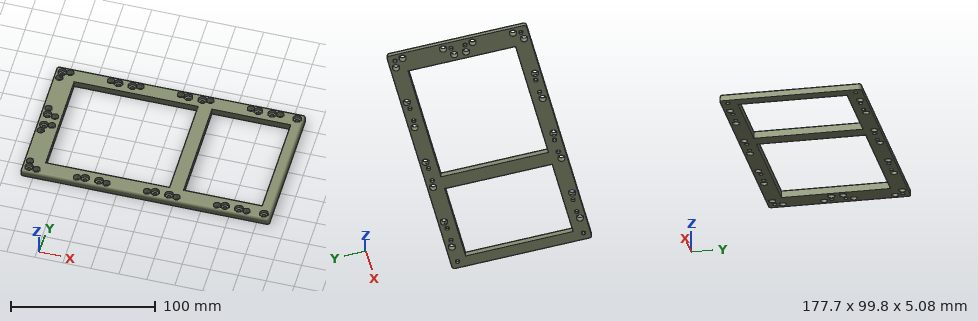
import cadquery as cq

grid = 50.0
edge_clearance = 0.1
length = 177.7
width = 2 * grid - 2 * edge_clearance
thickness = 5.08
edge_radius = 2.0

grid_left = -length / 2 - edge_clearance
full_columns = 3
screw_inset = 5.0
side_hole_near_inset = 4.2
side_hole_far_inset = 10.5
screw_diameter = 2.9
counterbore_diameter = 6.0
counterbore_depth = 2.5
side_hole_diameter = 4.9

window_height = 76.8
left_rail = 15.0
right_rail = 8.0
crossbar_width = 10.0
crossbar_center = 19.65

cut_overlap = 1.0


def make_plate():
    """Flat plate with round corners and a rounded top rim."""
    plate = cq.Workplane("XY").box(length, width, thickness, centered=(True, True, False))
    plate = plate.edges("|Z").fillet(edge_radius)
    return plate.faces(">Z").edges().fillet(edge_radius)


def make_window(x_start, x_end):
    """Cutter for a rectangular opening through the plate."""
    return (
        cq.Workplane("XY", origin=((x_start + x_end) / 2, 0, -cut_overlap))
        .rect(x_end - x_start, window_height)
        .extrude(thickness + 2 * cut_overlap)
    )


def make_pins(points, diameter, bottom):
    """Round cutters at the points, from the bottom height up past the top face."""
    return (
        cq.Workplane("XY", origin=(0, 0, bottom))
        .pushPoints(points)
        .circle(diameter / 2)
        .extrude(thickness + cut_overlap - bottom)
    )


def column_positions(inset):
    """X positions at the inset from every cell border along the plate, the right end excepted."""
    from_left_border = [grid_left + column * grid + inset for column in range(full_columns + 1)]
    from_right_border = [grid_left + column * grid - inset for column in range(1, full_columns + 1)]
    return from_left_border + from_right_border


def mirrored_in_y(points):
    """The points together with their mirror images across the X axis."""
    return points + [(x, -y) for x, y in points]


def screw_points():
    """Screws near every cell corner along the long edges and the left edge."""
    outer_y = grid - screw_inset
    points = [(x, outer_y) for x in column_positions(screw_inset)]
    points.append((length / 2 - screw_inset, outer_y))
    points.append((grid_left + screw_inset, screw_inset))
    return mirrored_in_y(points)


def side_hole_points():
    """Plain holes beside the screws along the long edges and the left edge."""
    points = [(x, grid - side_hole_near_inset) for x in column_positions(side_hole_far_inset)]
    points.append((grid_left + side_hole_far_inset, side_hole_near_inset))
    points.append((grid_left + side_hole_near_inset, side_hole_far_inset))
    points.append((grid_left + side_hole_near_inset, grid - side_hole_far_inset))
    return mirrored_in_y(points)


left_window = make_window(-length / 2 + left_rail, crossbar_center - crossbar_width / 2)
right_window = make_window(crossbar_center + crossbar_width / 2, length / 2 - right_rail)

result = (
    make_plate()
    .cut(left_window)
    .cut(right_window)
    .cut(make_pins(screw_points(), screw_diameter, -cut_overlap))
    .cut(make_pins(screw_points(), counterbore_diameter, thickness - counterbore_depth))
    .cut(make_pins(side_hole_points(), side_hole_diameter, -cut_overlap))
)